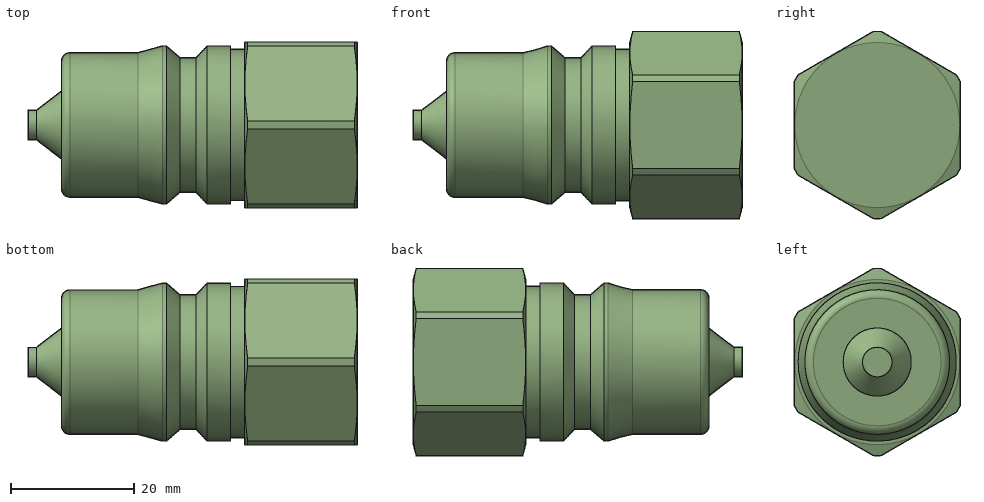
import cadquery as cq
import math

total_length = 53.4

tip_diameter = 4.8
tip_length = 1.35
cone_base_diameter = 11.05
nose_start = 5.4

nose_diameter = 23.5
nose_fillet = 1.4
flare_start = 17.8
rim_start = 21.8
rim_end = 22.45
rim_diameter = 25.7
groove_start = 24.6
groove_end = 27.25
groove_diameter = 21.9
collar_start = 29.05
collar_end = 32.85
neck_diameter = 24.6

hex_start = 35.15
hex_across_flats = 27.0
hex_corner_diameter = 30.45
hex_face_diameter = 26.8
hex_chamfer_angle = 15.0


def make_body():
    """Turned valve tip and plug body, revolved about X."""
    profile = (
        cq.Workplane("XY")
        .moveTo(0, 0)
        .lineTo(0, tip_diameter / 2)
        .lineTo(tip_length, tip_diameter / 2)
        .lineTo(nose_start, cone_base_diameter / 2)
        .lineTo(nose_start, nose_diameter / 2 - nose_fillet)
        .radiusArc((nose_start + nose_fillet, nose_diameter / 2), nose_fillet)
        .lineTo(flare_start, nose_diameter / 2)
        .lineTo(rim_start, rim_diameter / 2)
        .lineTo(rim_end, rim_diameter / 2)
        .lineTo(groove_start, groove_diameter / 2)
        .lineTo(groove_end, groove_diameter / 2)
        .lineTo(collar_start, rim_diameter / 2)
        .lineTo(collar_end, rim_diameter / 2)
        .lineTo(collar_end, neck_diameter / 2)
        .lineTo(hex_start, neck_diameter / 2)
        .lineTo(hex_start, 0)
        .close()
    )
    return profile.revolve(360, (0, 0, 0), (1, 0, 0))


def make_nut():
    """Hexagon with flats facing +Y and -Y, its corners turned down and chamfered at both ends."""
    hex_length = total_length - hex_start
    sharp_corner_diameter = hex_across_flats / math.cos(math.radians(30))
    hexagon = (
        cq.Workplane("YZ", origin=(hex_start, 0, 0))
        .polygon(6, sharp_corner_diameter)
        .extrude(hex_length)
        .rotate((0, 0, 0), (1, 0, 0), 90)
    )
    face_radius = hex_face_diameter / 2
    corner_radius = hex_corner_diameter / 2
    chamfer_length = (corner_radius - face_radius) * math.tan(math.radians(hex_chamfer_angle))
    turned_envelope = (
        cq.Workplane("XY")
        .moveTo(hex_start, 0)
        .lineTo(hex_start, face_radius)
        .lineTo(hex_start + chamfer_length, corner_radius)
        .lineTo(total_length - chamfer_length, corner_radius)
        .lineTo(total_length, face_radius)
        .lineTo(total_length, 0)
        .close()
        .revolve(360, (0, 0, 0), (1, 0, 0))
    )
    return hexagon.intersect(turned_envelope)


result = make_body().union(make_nut())